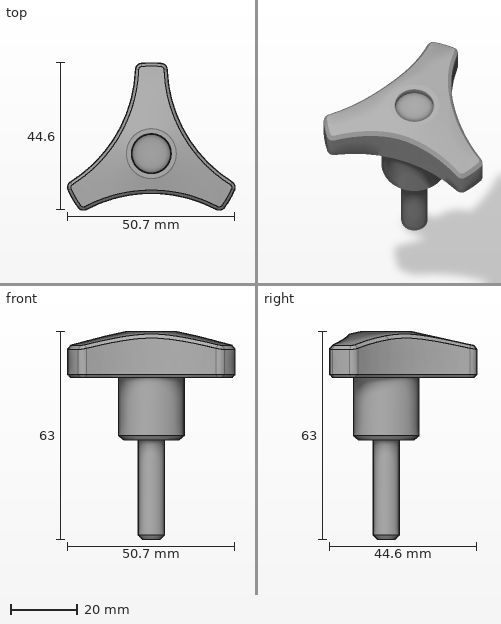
import cadquery as cq
import math

total_height = 63.0
head_height = 14.0
hub_length = 18.9
head_bottom = total_height - head_height
hub_bottom = head_bottom - hub_length

arm_count = 3
arm_reach = 27.5
scallop_radius = 41.9
waist_radius = 12.05
arm_corner_radius = 2.0
edge_chamfer = 1.0

crown_flat_radius = 7.55
crown_slope = math.radians(12.5)

recess_diameter = 11.7
recess_depth = 2.0
recess_chamfer = 0.2

hub_diameter = 20.0
hub_chamfer_height = 1.4
hub_chamfer_width = 1.65
stud_diameter = 8.0
stud_chamfer = 1.4


def make_head():
    """Disc cut by three scallops, topped by a cone, with its edges chamfered."""
    head = cq.Workplane("XY").workplane(offset=head_bottom).circle(arm_reach).extrude(head_height)
    scallops = (
        cq.Workplane("XY")
        .workplane(offset=head_bottom)
        .polarArray(waist_radius + scallop_radius, -90, 360, arm_count)
        .circle(scallop_radius)
        .extrude(head_height)
    )
    head = head.cut(scallops).edges("|Z").fillet(arm_corner_radius)
    crown_drop = (arm_reach - crown_flat_radius) * math.tan(crown_slope)
    crown = (
        cq.Workplane("XZ")
        .moveTo(0, head_bottom)
        .lineTo(arm_reach, head_bottom)
        .lineTo(arm_reach, total_height - crown_drop)
        .lineTo(crown_flat_radius, total_height)
        .lineTo(0, total_height)
        .close()
        .revolve(360, (0, 0), (0, 1))
    )
    head = head.intersect(crown)
    head = head.faces("%CONE").edges("not (>Z or %LINE)").chamfer(edge_chamfer)
    return head.faces("<Z").edges().chamfer(edge_chamfer)


def make_hub_and_stud():
    """Turned hub below the head, with the stud under it, both chamfered at the lower end."""
    hub_radius = hub_diameter / 2
    stud_radius = stud_diameter / 2
    return (
        cq.Workplane("XZ")
        .moveTo(0, 0)
        .lineTo(stud_radius - stud_chamfer, 0)
        .lineTo(stud_radius, stud_chamfer)
        .lineTo(stud_radius, hub_bottom)
        .lineTo(hub_radius - hub_chamfer_width, hub_bottom)
        .lineTo(hub_radius, hub_bottom + hub_chamfer_height)
        .lineTo(hub_radius, head_bottom)
        .lineTo(0, head_bottom)
        .close()
        .revolve(360, (0, 0), (0, 1))
    )


def make_recess():
    """Round pocket from the crown down, widened by a small chamfer at its mouth."""
    mouth = cq.Workplane("XY").workplane(offset=total_height)
    pocket = mouth.circle(recess_diameter / 2).extrude(-recess_depth)
    flare = mouth.circle(recess_diameter / 2 + recess_chamfer).extrude(-recess_chamfer, taper=45)
    return pocket.union(flare)


result = make_head().union(make_hub_and_stud()).cut(make_recess())